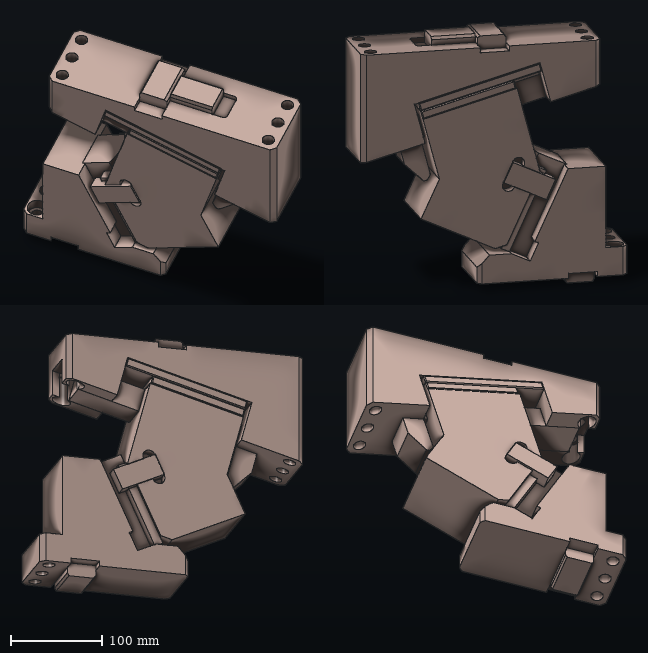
import cadquery as cq
import math

HALF_WIDTH = 40.0
OVERCUT = 60.0
CORNER_CHAMFER = 5.7

BOLT_SPACING = 27.3
BOLT_DIA = 13.2

KEY_LENGTH = 32.5
KEY_WIDTH = 50.5
KEY_SINK = 5.7
KEY_CHAMFER_RUN = 1.8
KEY_CHAMFER_RISE = 3.3

SLOPE_ANGLE = 25.0
SLOPE_TOP = cq.Vector(67.5, 0, 124.8)
SLOPE_OUT = cq.Vector(math.cos(math.radians(SLOPE_ANGLE)), 0, math.sin(math.radians(SLOPE_ANGLE)))
SLOPE_DOWN = cq.Vector(SLOPE_OUT.z, 0, -SLOPE_OUT.x)

PRESS_ANGLE = 15.0
HOLDER_LEFT = 30.3
HOLDER_LEFT_BOTTOM = 217.2
PRESS_START = cq.Vector(HOLDER_LEFT, 0, HOLDER_LEFT_BOTTOM)
PRESS_ALONG = cq.Vector(math.cos(math.radians(PRESS_ANGLE)), 0, -math.sin(math.radians(PRESS_ANGLE)))
PRESS_UP = cq.Vector(-PRESS_ALONG.z, 0, PRESS_ALONG.x)

FOOT_LENGTH = 169.2
FOOT_HEIGHT = 32.5
FOOT_NOSE_HEIGHT = 18.3
FOOT_BEVEL_START = 156.0
FOOT_NOSE_CHAMFER = 4.5
TOWER_LEFT = 25.0
BASE_HOLE_X = 13.0
BASE_HEAD_DIA = 21.0
BASE_DOWEL_DIA = 15.0
BASE_BORE_DEPTH = 12.0
BASE_KEY_LEFT = 34.5
BASE_KEY_DROP = 9.3

GUIDE_HALF_WIDTH = 22.0
ROOF_CREST = 37.8
ROOF_SHOULDER = 32.5
ROOF_EDGE = 28.0
GUIDE_START = -1.2
GUIDE_END = 110.7
LEDGE_START = 11.7
LEDGE_HALF_WIDTH = 33.0
LEDGE_UNDERSIDE = 19.5
POCKET_START = 88.5
POCKET_DEPTH = 4.5

SLIDER_FRONT = 90.5
SLIDER_BACK = 200.5
SLIDER_TOP = 27.0
SLIDER_FRONT_TIP = -73.8
SLIDER_KINK = -44.5
SLIDER_REAR = 130.5
SLIDER_BOTTOM = 112.2
SLIDER_BEVEL_TOP = 103.5
SLIDER_BEVEL_OUT = 38.5
RAIL_HALF_WIDTH = 18.5
RAIL_START = 19.2
HOOK_TOP = 16.0
HOOK_BOTTOM = 40.5
HOOK_TIP = 8.7
HOOK_ROOT = 61.5
HOOK_OUTER = 42.0
HOOK_INNER = 27.5
RELIEF_RADIUS = 7.0
RELIEF_OFFSET = 1.0

HOLDER_RIGHT = 300.0
HOLDER_TOP = 268.5
RECESS_LEFT = 58.8
RECESS_RIGHT = 205.2
RECESS_TOP = 46.5
PLATE_SPLIT = 36.5
PLATE_CHAMFER = 1.2
PLATE_SETBACK = 1.0
HOLDER_LEFT_HOLE_X = 43.0
HOLDER_RIGHT_HOLE_X = 287.0
HOLDER_HEAD_DIA = 19.8
HOLDER_SEAT = 244.8
HOLDER_KEY_LEFT = 133.8
HOLDER_KEY_RISE = 9.3
BAR_END = 215.7
BAR_HALF_WIDTH = 16.5
BAR_CHAMFER_RUN = 2.0
BAR_CHAMFER_RISE = 3.3
BAR_POCKET_END = 232.5
BAR_POCKET_RADIUS = 4.0
TAIL_OUTLINE = [
    (RECESS_RIGHT, 0),
    (230.0, 0),
    (230.0, -23.0),
    (214.8, -47.7),
    (211.0, -48.5),
    (RECESS_RIGHT, -43.2),
]


def slope_point(v, u):
    """XZ position of a point given in the slide frame."""
    p = SLOPE_TOP + SLOPE_OUT * v + SLOPE_DOWN * u
    return (p.x, p.z)


def press_point(s, n):
    """XZ position of a point given in the press frame."""
    p = PRESS_START + PRESS_ALONG * s + PRESS_UP * n
    return (p.x, p.z)


def profile(points, y_min, y_max):
    """Prism over an XZ outline between two Y positions."""
    return cq.Workplane("XZ", origin=(0, y_max, 0)).polyline(points).close().extrude(y_max - y_min)


def slope_block(v_min, v_max, u_min, u_max, y_min, y_max):
    corners = [(v_min, u_min), (v_max, u_min), (v_max, u_max), (v_min, u_max)]
    return profile([slope_point(v, u) for v, u in corners], y_min, y_max)


def press_block(s_min, s_max, n_min, n_max, half_width):
    corners = [(s_min, n_min), (s_max, n_min), (s_max, n_max), (s_min, n_max)]
    return profile([press_point(s, n) for s, n in corners], -half_width, half_width)


def box(x_min, x_max, half_width, z_min, z_max):
    return profile([(x_min, z_min), (x_max, z_min), (x_max, z_max), (x_min, z_max)], -half_width, half_width)


def upright_hole(x, y, diameter, z_min, z_max):
    return cq.Workplane("XY", origin=(x, y, z_min)).circle(diameter / 2).extrude(z_max - z_min)


def below_roof(u_min, u_max):
    """Everything under the sliding surface, from one station down the slope to another."""
    start = SLOPE_TOP + SLOPE_DOWN * u_min
    section = cq.Workplane(cq.Plane(origin=start, xDir=(0, 1, 0), normal=SLOPE_DOWN))
    return (
        section.moveTo(-HALF_WIDTH, -POCKET_DEPTH)
        .lineTo(-HALF_WIDTH, ROOF_EDGE)
        .lineTo(-GUIDE_HALF_WIDTH, ROOF_SHOULDER)
        .threePointArc((0, ROOF_CREST), (GUIDE_HALF_WIDTH, ROOF_SHOULDER))
        .lineTo(HALF_WIDTH, ROOF_EDGE)
        .lineTo(HALF_WIDTH, -POCKET_DEPTH)
        .close()
        .extrude(u_max - u_min)
    )


def wear_plate(s_min, s_max, n_min, n_max):
    plate = press_block(s_min, s_max, n_min, n_max, HALF_WIDTH)
    return plate.faces("<Y or >Y").edges().chamfer(PLATE_CHAMFER)


def make_base():
    pocket_mouth = (FOOT_HEIGHT - SLOPE_TOP.z - SLOPE_DOWN.z * GUIDE_END) / SLOPE_OUT.z
    outline = [
        (0, 0),
        (FOOT_LENGTH, 0),
        (FOOT_LENGTH, FOOT_NOSE_HEIGHT),
        (FOOT_BEVEL_START, FOOT_HEIGHT),
        slope_point(pocket_mouth, GUIDE_END),
        slope_point(-POCKET_DEPTH, GUIDE_END),
        slope_point(-POCKET_DEPTH, POCKET_START),
        slope_point(0, POCKET_START),
        slope_point(0, 0),
        (TOWER_LEFT, SLOPE_TOP.z),
        (TOWER_LEFT, FOOT_HEIGHT),
        (0, FOOT_HEIGHT),
    ]
    base = profile(outline, -HALF_WIDTH, HALF_WIDTH)
    base = base.edges("|Z and <X").chamfer(CORNER_CHAMFER)
    base = base.edges("|Z and >X").chamfer(FOOT_NOSE_CHAMFER)

    guide = slope_block(-POCKET_DEPTH, OVERCUT, GUIDE_START, GUIDE_END, -GUIDE_HALF_WIDTH, GUIDE_HALF_WIDTH)
    ledge = slope_block(LEDGE_UNDERSIDE, OVERCUT, LEDGE_START, GUIDE_END, -LEDGE_HALF_WIDTH, LEDGE_HALF_WIDTH)
    base = base.union(guide.union(ledge).intersect(below_roof(GUIDE_START, GUIDE_END)))

    bore_floor = FOOT_HEIGHT - BASE_BORE_DEPTH
    for y, bore_dia in ((-BOLT_SPACING, BASE_HEAD_DIA), (0, BASE_DOWEL_DIA), (BOLT_SPACING, BASE_HEAD_DIA)):
        base = base.cut(upright_hole(BASE_HOLE_X, y, BOLT_DIA, 0, FOOT_HEIGHT))
        base = base.cut(upright_hole(BASE_HOLE_X, y, bore_dia, bore_floor, FOOT_HEIGHT))

    key_right = BASE_KEY_LEFT + KEY_LENGTH
    key = box(BASE_KEY_LEFT, key_right, KEY_WIDTH / 2, -BASE_KEY_DROP, KEY_SINK)
    key = key.faces("<Z").edges("|Y").chamfer(KEY_CHAMFER_RUN, KEY_CHAMFER_RISE)
    slot = box(BASE_KEY_LEFT, key_right, HALF_WIDTH, 0, KEY_SINK)
    return base.cut(slot).union(key)


def make_hook(side):
    """Hook on one side (-1 or 1) that grips under the ledge of the base."""
    def part(v_min, v_max, y_near):
        y_min, y_max = sorted((side * y_near, side * HOOK_OUTER))
        return slope_block(v_min, v_max, HOOK_TOP, HOOK_BOTTOM, y_min, y_max)

    stem = part(HOOK_TIP, HOOK_ROOT, LEDGE_HALF_WIDTH)
    lip = part(HOOK_TIP, LEDGE_UNDERSIDE, HOOK_INNER)
    root = part(ROOF_SHOULDER, HOOK_ROOT, HOOK_INNER)
    return stem.union(lip).union(root)


def make_slider():
    outline = [
        press_point(SLIDER_FRONT, SLIDER_TOP),
        press_point(SLIDER_BACK, SLIDER_TOP),
        press_point(SLIDER_BACK, SLIDER_KINK),
        slope_point(SLIDER_REAR, SLIDER_BOTTOM),
        slope_point(SLIDER_BEVEL_OUT, SLIDER_BOTTOM),
        slope_point(ROOF_EDGE, SLIDER_BEVEL_TOP),
        press_point(SLIDER_FRONT, SLIDER_FRONT_TIP),
    ]
    slider = profile(outline, -HALF_WIDTH, HALF_WIDTH)
    slider = slider.cut(below_roof(-OVERCUT, GUIDE_END + OVERCUT))

    for side in (-1, 1):
        y_min, y_max = sorted((side * HOOK_INNER, side * HOOK_OUTER))
        for u in (HOOK_TOP - RELIEF_OFFSET, HOOK_BOTTOM + RELIEF_OFFSET):
            x, z = slope_point(HOOK_ROOT - RELIEF_RADIUS, u)
            relief = cq.Workplane("XZ", origin=(x, y_max, z)).circle(RELIEF_RADIUS).extrude(y_max - y_min)
            slider = slider.cut(relief)
        slider = slider.union(make_hook(side))

    slider = slider.union(press_block(RAIL_START, RECESS_RIGHT, 0, SLIDER_TOP, RAIL_HALF_WIDTH))
    return slider.union(wear_plate(SLIDER_FRONT + PLATE_SETBACK, SLIDER_BACK, SLIDER_TOP, PLATE_SPLIT))


def make_holder():
    right_bottom = HOLDER_LEFT_BOTTOM - (HOLDER_RIGHT - HOLDER_LEFT) * math.tan(math.radians(PRESS_ANGLE))
    outline = [
        (HOLDER_LEFT, HOLDER_LEFT_BOTTOM),
        press_point(RECESS_LEFT, 0),
        press_point(RECESS_LEFT, RECESS_TOP),
        press_point(RECESS_RIGHT, RECESS_TOP),
        press_point(RECESS_RIGHT, 0),
        (HOLDER_RIGHT, right_bottom),
        (HOLDER_RIGHT, HOLDER_TOP),
        (HOLDER_LEFT, HOLDER_TOP),
    ]
    holder = profile(outline, -HALF_WIDTH, HALF_WIDTH)
    holder = holder.edges("|Z").chamfer(CORNER_CHAMFER)

    holder = holder.cut(press_block(-OVERCUT, RECESS_LEFT, -OVERCUT, SLIDER_TOP, RAIL_HALF_WIDTH))
    holder = holder.union(wear_plate(RECESS_LEFT, SLIDER_BACK, PLATE_SPLIT, RECESS_TOP))
    tail = profile([press_point(s, n) for s, n in TAIL_OUTLINE], -RAIL_HALF_WIDTH, RAIL_HALF_WIDTH)
    holder = holder.union(tail)

    for y in (-BOLT_SPACING, 0, BOLT_SPACING):
        for x in (HOLDER_LEFT_HOLE_X, HOLDER_RIGHT_HOLE_X):
            holder = holder.cut(upright_hole(x, y, BOLT_DIA, 0, HOLDER_TOP))
    for y in (-BOLT_SPACING, BOLT_SPACING):
        holder = holder.cut(upright_hole(HOLDER_LEFT_HOLE_X, y, HOLDER_HEAD_DIA, 0, HOLDER_SEAT))

    key_right = HOLDER_KEY_LEFT + KEY_LENGTH
    slot_floor = HOLDER_TOP - KEY_SINK
    holder = holder.cut(box(HOLDER_KEY_LEFT, key_right, HALF_WIDTH, slot_floor, HOLDER_TOP))
    pocket = box(key_right, BAR_POCKET_END, BAR_HALF_WIDTH, slot_floor, HOLDER_TOP)
    holder = holder.cut(pocket.edges("|Z and >X").fillet(BAR_POCKET_RADIUS))

    key_top = HOLDER_TOP + HOLDER_KEY_RISE
    key = box(HOLDER_KEY_LEFT, key_right, KEY_WIDTH / 2, slot_floor, key_top)
    key = key.faces(">Z").edges("|Y").chamfer(KEY_CHAMFER_RUN, KEY_CHAMFER_RISE)
    bar = box(key_right, BAR_END, BAR_HALF_WIDTH, slot_floor, key_top)
    bar = bar.faces(">Z").edges("|X").chamfer(BAR_CHAMFER_RUN, BAR_CHAMFER_RISE)
    return holder.union(key).union(bar)


base = make_base().solids()
slider = make_slider().solids()
holder = make_holder().solids()

result = cq.Compound.makeCompound([base.val(), slider.val(), holder.val()])